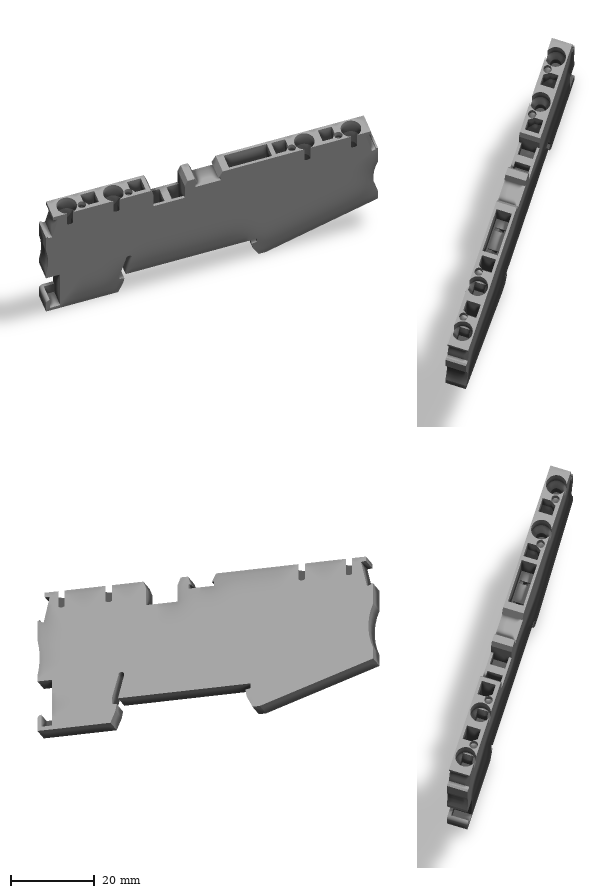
import cadquery as cq

WIDTH = 5.15
LENGTH = 84.0
HEIGHT = 35.25
END = LENGTH / 2

LIP_END = 40.2
LIP_EDGE_Z = 34.15
FLANK_TOP = (38.95, 34.0)
FLANK_FOOT = (40.45, 27.65)
SHOULDER_STEP = 41.45
SHOULDER_LOW_Z = 27.95
SHOULDER_TOP_Z = 28.4
SHOULDER_END_Z = 28.15

HOLLOW_TOP_Z = 23.0
BACK_HOLLOW_MID = (40.8, 17.3)
BACK_HOLLOW_FOOT_Z = 11.7
FRONT_HOLLOW_TOP_Z = 23.3
FRONT_HOLLOW_MID = (-41.45, 18.75)
FRONT_HOLLOW_FOOT_Z = 14.2

BACK_CORNER_Z = 8.9
BACK_FOOT_OUTER = 13.6
BACK_FOOT_INNER = 11.8
HOOK_CURVE_Z = 2.9
HOOK_TIP_Z = 4.6
HOOK_ROOT_Z = 4.85
BACK_HOOK_CURVE = 10.3
BACK_HOOK_TIP = 10.05
BACK_HOOK_ROOT = 11.35
RAIL_SEAT_Z = 6.05
SEAT_FRONT = -21.85
SLOT_BACK_TOP = (-20.3, 11.9)
SLOT_TOP = (-20.95, 12.7)
SLOT_FRONT_TOP = (-21.75, 11.9)
SLOT_FRONT_FOOT = (-23.4, 6.2)
FRONT_HOOK_TIP = -22.15
FRONT_HOOK_CURVE = -22.5
FRONT_FOOT_INNER = -23.75
TOE_TOP_Z = 4.07
TOE_RADIUS = 1.0
TOE_GAP_BACK = -38.4
TOE_GAP_TOP_Z = 12.7
TOE_RIB_BACK = -41.05
TOE_SIDE_WALL = 0.8
TOE_FLOOR_Z = 1.0

NOTCH_LIP_Z = 33.2
NOTCH_FLOOR_Z = 32.15
NOTCH_BACK_TOP = 2.7
NOTCH_BACK_LIP = 1.65
NOTCH_BACK = 2.2
NOTCH_FRONT = -4.15
NOTCH_FRONT_LIP = -3.6
POST_BACK = -4.35
POST_FRONT = -6.15
BEVEL_FOOT_Z = 33.5
GAP_BACK = -6.9
GAP_FRONT = -14.83
GAP_FRONT_TOP = -15.5
GAP_FLOOR_Z = 29.15

CLAMP_PITCH = 11.8
INNER_CLAMP_Y = 24.15
FUNNEL_X = 0.24
FUNNEL_RADIUS = 2.46
FUNNEL_FLAT = 2.0
FUNNEL_STRAIGHT_DEPTH = 4.0
FUNNEL_TAPER_DEPTH = 2.5
WIRE_HOLE_RADIUS = 1.35
WIRE_HOLE_FLAT = 1.5
WIRE_HOLE_DEPTH = 3.0

TEST_HOLE_X = 1.15
TEST_HOLE_OFFSET = 3.5
TEST_HOLE_RADIUS = 1.0
TEST_HOLE_DEPTH = 2.0

POCKET_LEFT_X = -1.85
POCKET_RIGHT_X = 1.65
POCKET_NEAR = 4.15
POCKET_FAR = 7.65
POCKET_CORNER_X = 1.35
POCKET_CORNER_Y = 0.95
POCKET_SHALLOW_DEPTH = 5.0
POCKET_DEEP_DEPTH = 11.8

BRIDGE_WIDTH = 3.85
LONG_POCKET_BACK = 15.4
LONG_POCKET_FRONT = 4.5
LONG_POCKET_DEPTH = 8.0
CONTACT_SLOT_YS = (12.6, 7.05)
CONTACT_SLOT_WIDTH = 0.8
CONTACT_SLOT_END = 1.5
CONTACT_SLOT_DEPTH = 0.5
CONTACT_GROOVE_STEP = -0.75
CONTACT_GROOVE_END = 0.55
CONTACT_GROOVE_DEPTH = 2.0
GAP_POCKET_LENGTH = 3.05
GAP_POCKET_DEPTH = 5.0


def make_body():
    """Extrude the outline, drawn from the back lip down, forward and back along the top."""
    profile = (
        cq.Workplane("YZ")
        .moveTo(LIP_END, HEIGHT)
        .lineTo(LIP_END, LIP_EDGE_Z)
        .lineTo(*FLANK_TOP)
        .lineTo(*FLANK_FOOT)
        .lineTo(SHOULDER_STEP, SHOULDER_LOW_Z)
        .lineTo(SHOULDER_STEP, SHOULDER_TOP_Z)
        .lineTo(END, SHOULDER_END_Z)
        .lineTo(END, HOLLOW_TOP_Z)
        .threePointArc(BACK_HOLLOW_MID, (END, BACK_HOLLOW_FOOT_Z))
        .lineTo(END, BACK_CORNER_Z)
        .lineTo(BACK_FOOT_OUTER, 0)
        .lineTo(BACK_FOOT_INNER, 0)
        .lineTo(BACK_HOOK_CURVE, HOOK_CURVE_Z)
        .lineTo(BACK_HOOK_TIP, HOOK_TIP_Z)
        .lineTo(BACK_HOOK_ROOT, HOOK_ROOT_Z)
        .lineTo(BACK_HOOK_ROOT, RAIL_SEAT_Z)
        .lineTo(SEAT_FRONT, RAIL_SEAT_Z)
        .lineTo(*SLOT_BACK_TOP)
        .threePointArc(SLOT_TOP, SLOT_FRONT_TOP)
        .lineTo(*SLOT_FRONT_FOOT)
        .lineTo(SLOT_FRONT_FOOT[0], HOOK_ROOT_Z)
        .lineTo(FRONT_HOOK_TIP, HOOK_TIP_Z)
        .lineTo(FRONT_HOOK_CURVE, HOOK_CURVE_Z)
        .lineTo(FRONT_FOOT_INNER, 0)
        .lineTo(-END, 0)
        .lineTo(-END, TOE_TOP_Z - TOE_RADIUS)
        .radiusArc((TOE_RADIUS - END, TOE_TOP_Z), TOE_RADIUS)
        .lineTo(TOE_GAP_BACK, TOE_TOP_Z)
        .lineTo(TOE_GAP_BACK, TOE_GAP_TOP_Z)
        .lineTo(-END, TOE_GAP_TOP_Z)
        .lineTo(-END, FRONT_HOLLOW_FOOT_Z)
        .threePointArc(FRONT_HOLLOW_MID, (-END, FRONT_HOLLOW_TOP_Z))
        .lineTo(-END, SHOULDER_END_Z)
        .lineTo(-SHOULDER_STEP, SHOULDER_TOP_Z)
        .lineTo(-SHOULDER_STEP, SHOULDER_LOW_Z)
        .lineTo(-FLANK_FOOT[0], FLANK_FOOT[1])
        .lineTo(-FLANK_TOP[0], FLANK_TOP[1])
        .lineTo(-LIP_END, LIP_EDGE_Z)
        .lineTo(-LIP_END, HEIGHT)
        .lineTo(GAP_FRONT_TOP, HEIGHT)
        .lineTo(GAP_FRONT, BEVEL_FOOT_Z)
        .lineTo(GAP_FRONT, GAP_FLOOR_Z)
        .lineTo(GAP_BACK, GAP_FLOOR_Z)
        .lineTo(GAP_BACK, BEVEL_FOOT_Z)
        .lineTo(POST_FRONT, HEIGHT)
        .lineTo(POST_BACK, HEIGHT)
        .lineTo(NOTCH_FRONT_LIP, NOTCH_LIP_Z)
        .lineTo(NOTCH_FRONT, NOTCH_LIP_Z)
        .lineTo(NOTCH_FRONT, NOTCH_FLOOR_Z)
        .lineTo(NOTCH_BACK, NOTCH_FLOOR_Z)
        .lineTo(NOTCH_BACK, NOTCH_LIP_Z)
        .lineTo(NOTCH_BACK_LIP, NOTCH_LIP_Z)
        .lineTo(NOTCH_BACK_TOP, HEIGHT)
        .close()
    )
    return profile.extrude(WIDTH / 2, both=True)


def block(x_range, y_range, top_z, depth):
    """Box between two X values and two Y values, reaching down from top_z."""
    x_size = x_range[1] - x_range[0]
    y_size = y_range[1] - y_range[0]
    corner = (x_range[0], y_range[0], top_z - depth)
    return cq.Workplane("XY").box(x_size, y_size, depth, centered=False).translate(corner)


def leaning_block(y, back, half_width):
    """Block as tall as the funnel's taper, with a leaning face on the inner side of y."""
    top = HEIGHT - FUNNEL_STRAIGHT_DEPTH
    foot = top - FUNNEL_TAPER_DEPTH
    return (
        cq.Workplane("YZ", origin=(FUNNEL_X, 0, 0))
        .moveTo(back, top)
        .lineTo(y - FUNNEL_FLAT, top)
        .lineTo(y - WIRE_HOLE_FLAT, foot)
        .lineTo(back, foot)
        .close()
        .extrude(half_width, both=True)
    )


def wire_funnel(y):
    """Round entry tapering to a D-shaped wire hole, with a leaning inner side."""
    taper_top = HEIGHT - FUNNEL_STRAIGHT_DEPTH
    taper_foot = taper_top - FUNNEL_TAPER_DEPTH
    entry = (
        cq.Workplane("XY", origin=(FUNNEL_X, y, taper_top))
        .circle(FUNNEL_RADIUS)
        .extrude(FUNNEL_STRAIGHT_DEPTH)
    )
    cone = (
        cq.Workplane("XY", origin=(FUNNEL_X, y, taper_top))
        .circle(FUNNEL_RADIUS)
        .workplane(offset=-FUNNEL_TAPER_DEPTH)
        .circle(WIRE_HOLE_RADIUS)
        .loft(ruled=True)
    )
    square_lean = leaning_block(y, y, WIRE_HOLE_RADIUS)
    cone = cone.intersect(leaning_block(y, y + FUNNEL_RADIUS, FUNNEL_RADIUS))
    round_hole = (
        cq.Workplane("XY", origin=(FUNNEL_X, y, taper_foot))
        .circle(WIRE_HOLE_RADIUS)
        .extrude(-WIRE_HOLE_DEPTH)
    )
    square_side = block(
        (FUNNEL_X - WIRE_HOLE_RADIUS, FUNNEL_X + WIRE_HOLE_RADIUS),
        (y - WIRE_HOLE_FLAT, y),
        taper_foot,
        WIRE_HOLE_DEPTH,
    )
    return entry.union(cone).union(square_lean).union(round_hole).union(square_side)


def test_hole(y):
    return (
        cq.Workplane("XY", origin=(TEST_HOLE_X, y - TEST_HOLE_OFFSET, HEIGHT))
        .circle(TEST_HOLE_RADIUS)
        .extrude(-TEST_HOLE_DEPTH)
    )


def release_pocket(y):
    """Pocket with one cut corner and a steeply sloping floor."""
    near = y - POCKET_NEAR
    far = y - POCKET_FAR
    outline = (
        cq.Workplane("XY", origin=(0, 0, HEIGHT))
        .moveTo(POCKET_LEFT_X, near)
        .lineTo(POCKET_LEFT_X, far)
        .lineTo(POCKET_RIGHT_X, far)
        .lineTo(POCKET_RIGHT_X, near - POCKET_CORNER_Y)
        .lineTo(POCKET_RIGHT_X - POCKET_CORNER_X, near)
        .close()
        .extrude(-POCKET_DEEP_DEPTH)
    )
    slope = (
        cq.Workplane("YZ")
        .moveTo(near, HEIGHT)
        .lineTo(far, HEIGHT)
        .lineTo(far, HEIGHT - POCKET_DEEP_DEPTH)
        .lineTo(near, HEIGHT - POCKET_SHALLOW_DEPTH)
        .close()
        .extrude(WIDTH, both=True)
    )
    return outline.intersect(slope)


def bridge_pocket(front, back, top_z, depth):
    return block((-BRIDGE_WIDTH / 2, BRIDGE_WIDTH / 2), (front, back), top_z, depth)


def toe_recess():
    """Recess behind the rounded toe, open on the +X side and walled on the -X side."""
    return block(
        (TOE_SIDE_WALL - WIDTH / 2, WIDTH / 2),
        (TOE_RIB_BACK, TOE_GAP_BACK),
        TOE_TOP_Z,
        TOE_TOP_Z - TOE_FLOOR_Z,
    )


def contact_slot(y):
    """Slot across the floor of the long pocket, with a one-sided V groove in its middle."""
    floor_z = HEIGHT - LONG_POCKET_DEPTH
    shelf_z = floor_z - CONTACT_SLOT_DEPTH
    return (
        cq.Workplane("XZ", origin=(0, y, 0))
        .moveTo(-CONTACT_SLOT_END, floor_z)
        .lineTo(-CONTACT_SLOT_END, shelf_z)
        .lineTo(CONTACT_GROOVE_STEP, shelf_z)
        .lineTo(CONTACT_GROOVE_STEP, shelf_z - CONTACT_GROOVE_DEPTH)
        .lineTo(CONTACT_GROOVE_END, shelf_z)
        .lineTo(CONTACT_SLOT_END, shelf_z)
        .lineTo(CONTACT_SLOT_END, floor_z)
        .close()
        .extrude(CONTACT_SLOT_WIDTH / 2, both=True)
    )


body = make_body()

for clamp_y in (INNER_CLAMP_Y, INNER_CLAMP_Y + CLAMP_PITCH):
    for cutter in (wire_funnel(clamp_y), test_hole(clamp_y), release_pocket(clamp_y)):
        body = body.cut(cutter).cut(cutter.mirror("XZ"))

body = body.cut(bridge_pocket(LONG_POCKET_FRONT, LONG_POCKET_BACK, HEIGHT, LONG_POCKET_DEPTH))
for slot_y in CONTACT_SLOT_YS:
    body = body.cut(contact_slot(slot_y))
for pocket_front in (GAP_BACK - GAP_POCKET_LENGTH, GAP_FRONT):
    pocket_back = pocket_front + GAP_POCKET_LENGTH
    body = body.cut(bridge_pocket(pocket_front, pocket_back, GAP_FLOOR_Z, GAP_POCKET_DEPTH))

body = body.cut(toe_recess())

result = body